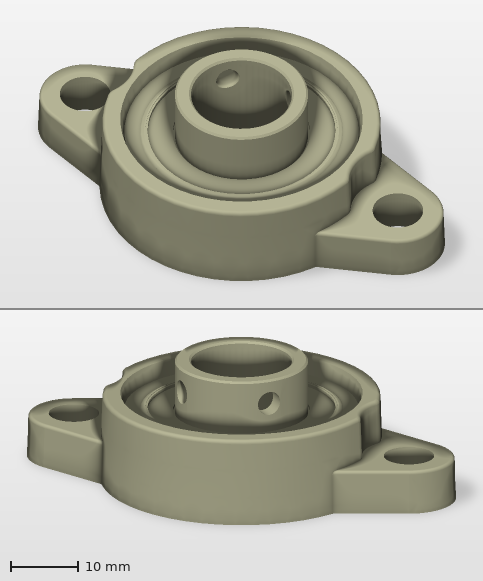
import cadquery as cq
import math

base_dia = 42.2
housing_height = 13.2
draft = math.radians(2.0)
rim_fillet = 0.6

ear_pitch = 53.0
ear_radius = 7.0
ear_height = 6.6
ear_flank_angle = math.radians(20.0)
ear_fillet = 0.5
ear_root_fillet = 0.5
bolt_hole_dia = 7.5

notch_radius = 6.8
notch_corner_radius = 1.8

recess_top_dia = 36.0
recess_floor_dia = 34.8
recess_floor_z = 10.8

seat_radius = 16.0
seat_center_z = 5.5
ring_face_z = 11.1
ring_face_dia = 29.0
lip_outer_dia = 28.5
lip_inner_dia = 27.9
lip_step = 0.1
shield_face_z = 10.5
shield_bore_dia = 20.4
collar_dia = 19.8
collar_gap_depth = 0.4
collar_top_z = 18.5
collar_chamfer = 0.3
bore_dia = 15.0
bore_chamfer = 0.3
set_screw_dia = 3.6
set_screw_z = 14.8
set_screw_angles = (45, 135)

ear_center_x = ear_pitch / 2
ear_centers = [(-ear_center_x, 0), (ear_center_x, 0)]


def drafted_shrink(height):
    """Distance a drafted wall moves over the given height."""
    return height * math.tan(draft)


def frustum(bottom_radius, top_radius, bottom_z, top_z):
    """Solid cone frustum on the Z axis."""
    return (
        cq.Workplane("XZ")
        .moveTo(0, bottom_z)
        .lineTo(bottom_radius, bottom_z)
        .lineTo(top_radius, top_z)
        .lineTo(0, top_z)
        .close()
        .revolve(360, (0, 0, 0), (0, 1, 0))
    )


def wall_edges_within(reach, height):
    """Selector for the upright edges, centered in the middle third, no farther than reach along X and Y."""
    return cq.selectors.BoxSelector((-reach, -reach, height / 3), (reach, reach, height * 2 / 3))


def make_round_body():
    """Drafted round body with a bolt-head notch beside each ear."""
    bottom_radius = base_dia / 2
    shrink = drafted_shrink(housing_height)
    body = frustum(bottom_radius, bottom_radius - shrink, 0, housing_height)
    notch = frustum(notch_radius, notch_radius + shrink, 0, housing_height)
    for center in ear_centers:
        body = body.cut(notch.translate((*center, 0)))
    body = body.edges(wall_edges_within(base_dia / 2, housing_height)).fillet(notch_corner_radius)
    return body.faces(">Z").edges().fillet(rim_fillet)


def make_ear_plate():
    """Drafted plate: both ears, with flanks that blend through root fillets into a round middle."""
    tangent_x = ear_center_x + ear_radius * math.sin(ear_flank_angle)
    tangent_y = ear_radius * math.cos(ear_flank_angle)
    middle_y = tangent_y + tangent_x * math.tan(ear_flank_angle)
    tip_x = ear_center_x + ear_radius
    ears = (
        cq.Workplane("XY")
        .moveTo(0, middle_y)
        .lineTo(tangent_x, tangent_y)
        .threePointArc((tip_x, 0), (tangent_x, -tangent_y))
        .lineTo(0, -middle_y)
        .lineTo(-tangent_x, -tangent_y)
        .threePointArc((-tip_x, 0), (-tangent_x, tangent_y))
        .close()
        .extrude(ear_height, taper=math.degrees(draft))
    )
    bottom_radius = base_dia / 2
    middle = frustum(bottom_radius, bottom_radius - drafted_shrink(ear_height), 0, ear_height)
    plate = middle.union(ears)
    plate = plate.edges(wall_edges_within(base_dia / 2, ear_height)).fillet(ear_root_fillet)
    return plate.faces(">Z").edges().fillet(ear_fillet)


def make_housing():
    housing = make_round_body().union(make_ear_plate())
    recess = frustum(recess_floor_dia / 2, recess_top_dia / 2, recess_floor_z, housing_height)
    seat = cq.Workplane("XY").sphere(seat_radius).translate((0, 0, seat_center_z))
    bolt_holes = cq.Workplane("XY").pushPoints(ear_centers).circle(bolt_hole_dia / 2).extrude(ear_height)
    return housing.cut(recess).cut(seat).cut(bolt_holes)


def make_bearing():
    """Bearing insert: spherical outer ring, lip around a sunken shield, and a collar with set screw holes."""
    rim_rise = recess_floor_z - seat_center_z
    rim_radius = math.sqrt(seat_radius**2 - rim_rise**2)
    bottom_z = seat_center_z - rim_rise
    lip_z = ring_face_z - lip_step
    gap_z = shield_face_z - collar_gap_depth
    bearing = (
        cq.Workplane("XZ")
        .moveTo(bore_dia / 2, bottom_z)
        .lineTo(rim_radius, bottom_z)
        .threePointArc((seat_radius, seat_center_z), (rim_radius, recess_floor_z))
        .lineTo(ring_face_dia / 2, ring_face_z)
        .lineTo(lip_outer_dia / 2, ring_face_z)
        .lineTo(lip_outer_dia / 2, lip_z)
        .lineTo(lip_inner_dia / 2, lip_z)
        .lineTo(lip_inner_dia / 2, shield_face_z)
        .lineTo(shield_bore_dia / 2, shield_face_z)
        .lineTo(shield_bore_dia / 2, gap_z)
        .lineTo(collar_dia / 2, gap_z)
        .lineTo(collar_dia / 2, collar_top_z - collar_chamfer)
        .lineTo(collar_dia / 2 - collar_chamfer, collar_top_z)
        .lineTo(bore_dia / 2 + bore_chamfer, collar_top_z)
        .lineTo(bore_dia / 2, collar_top_z - bore_chamfer)
        .close()
        .revolve(360, (0, 0, 0), (0, 1, 0))
    )
    set_screw_hole = cq.Workplane("YZ").center(0, set_screw_z).circle(set_screw_dia / 2).extrude(collar_dia)
    for angle in set_screw_angles:
        bearing = bearing.cut(set_screw_hole.rotate((0, 0, 0), (0, 0, 1), angle))
    return bearing


housing = make_housing()
bearing = make_bearing()

result = cq.Compound.makeCompound([housing.val(), bearing.val()])